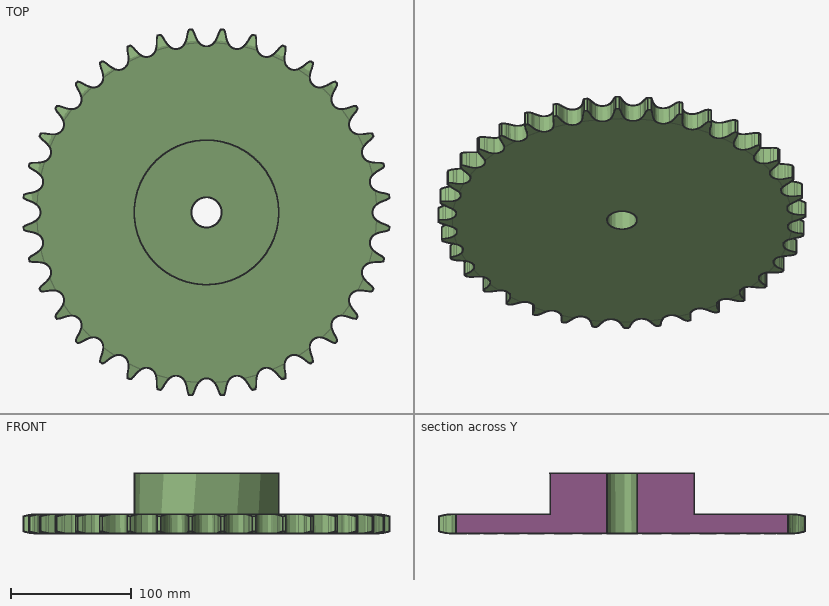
import cadquery as cq
import math

TOOTH_COUNT = 36
TOOTH_ANGLE = 360 / TOOTH_COUNT
PITCH_RADIUS = 291.5 / 2
TIP_RADIUS = 304.5 / 2
CHAIN_PITCH = 2 * PITCH_RADIUS * math.sin(math.radians(TOOTH_ANGLE / 2))
ROLLER_DIAMETER = CHAIN_PITCH * 5 / 8

PLATE_THICKNESS = 16.0
TOTAL_HEIGHT = 50.0
HUB_DIAMETER = 120.0
BORE_DIAMETER = 25.0

RELIEF_START_RADIUS = 141.0
RELIEF_DEPTH = 1.8

SEAT_END_ANGLE = 35 + 60 / TOOTH_COUNT
WORKING_ARC_ANGLE = 18 - 56 / TOOTH_COUNT
TOPPING_ANGLE = 17 - 64 / TOOTH_COUNT
SEAT_RADIUS = 0.5025 * ROLLER_DIAMETER
WORKING_CENTER_DISTANCE = 0.8 * ROLLER_DIAMETER
WORKING_RADIUS = SEAT_RADIUS + WORKING_CENTER_DISTANCE
TOPPING_CENTER_DISTANCE = 1.4 * ROLLER_DIAMETER


def polar(center, radius, degrees):
    """Point at a given radius and direction from a center."""
    angle = math.radians(degrees)
    return (center[0] + radius * math.cos(angle), center[1] + radius * math.sin(angle))


def flank_points():
    """Points of one flank, from the seat end to the tooth tip, in a gap that opens along +Y.

    The origin is the roller center. The flank is a concave working arc, a straight
    stretch and a convex topping arc, each tangent to the next.
    """
    working_center = polar((0, 0), WORKING_CENTER_DISTANCE, 180 - SEAT_END_ANGLE)
    working_end_angle = WORKING_ARC_ANGLE - SEAT_END_ANGLE
    seat_end = polar(working_center, WORKING_RADIUS, -SEAT_END_ANGLE)
    working_middle = polar(working_center, WORKING_RADIUS, -SEAT_END_ANGLE + WORKING_ARC_ANGLE / 2)
    working_end = polar(working_center, WORKING_RADIUS, working_end_angle)

    straight_length = (
        TOPPING_CENTER_DISTANCE * math.sin(math.radians(TOPPING_ANGLE))
        - WORKING_CENTER_DISTANCE * math.sin(math.radians(WORKING_ARC_ANGLE))
    )
    topping_radius = (
        WORKING_CENTER_DISTANCE * math.cos(math.radians(WORKING_ARC_ANGLE))
        + TOPPING_CENTER_DISTANCE * math.cos(math.radians(TOPPING_ANGLE))
        - WORKING_RADIUS
    )
    topping_start = polar(working_end, straight_length, working_end_angle + 90)
    topping_center = polar(topping_start, topping_radius, working_end_angle)

    axis_distance = math.hypot(topping_center[0], topping_center[1] + PITCH_RADIUS)
    axis_direction = math.degrees(math.atan2(-topping_center[1] - PITCH_RADIUS, -topping_center[0]))
    squares = topping_radius**2 + axis_distance**2 - TIP_RADIUS**2
    tip_cosine = squares / (2 * topping_radius * axis_distance)
    start_angle = 180 + working_end_angle
    end_angle = axis_direction % 360 - math.degrees(math.acos(tip_cosine))
    topping_middle = polar(topping_center, topping_radius, (start_angle + end_angle) / 2)
    tip = polar(topping_center, topping_radius, end_angle)
    return [seat_end, working_middle, working_end, topping_start, topping_middle, tip]


def turn_to_gap(point, gap):
    """Move a point from the roller-centered frame to a given gap of the sprocket."""
    radius = math.hypot(point[0], point[1] + PITCH_RADIUS)
    direction = math.degrees(math.atan2(point[1] + PITCH_RADIUS, point[0]))
    return polar((0, 0), radius, direction - gap * TOOTH_ANGLE)


def add_flank(outline, points):
    """Draw a flank outward from the seat end."""
    _, working_middle, working_end, topping_start, topping_middle, tip = points
    outline = outline.threePointArc(working_middle, working_end).lineTo(*topping_start)
    return outline.threePointArc(topping_middle, tip)


def add_flank_inward(outline, points):
    """Draw a flank inward from the tooth tip."""
    seat_end, working_middle, working_end, topping_start, topping_middle, _ = points
    outline = outline.threePointArc(topping_middle, topping_start).lineTo(*working_end)
    return outline.threePointArc(working_middle, seat_end)


def toothed_outline():
    """Closed outline of all the teeth, with a gap centered on +Y."""
    right_flank = flank_points()
    left_flank = [(-x, y) for x, y in right_flank]
    left_tip = left_flank[-1]
    seat_bottom = (0, -SEAT_RADIUS)

    outline = cq.Workplane("XY").moveTo(*turn_to_gap(left_tip, 0))
    for gap in range(TOOTH_COUNT):
        left = [turn_to_gap(point, gap) for point in left_flank]
        right = [turn_to_gap(point, gap) for point in right_flank]
        tip_middle = polar((0, 0), TIP_RADIUS, 90 - (gap + 0.5) * TOOTH_ANGLE)
        outline = add_flank_inward(outline, left)
        outline = outline.threePointArc(turn_to_gap(seat_bottom, gap), right[0])
        outline = add_flank(outline, right)
        outline = outline.threePointArc(tip_middle, turn_to_gap(left_tip, gap + 1))
    return outline.close()


def relieved_blank():
    """Disc whose rim thins toward the tips along arcs tangent to both faces."""
    return (
        cq.Workplane("XZ")
        .lineTo(RELIEF_START_RADIUS, 0)
        .tangentArcPoint((TIP_RADIUS, RELIEF_DEPTH), relative=False)
        .lineTo(TIP_RADIUS, PLATE_THICKNESS / 2)
        .lineTo(0, PLATE_THICKNESS / 2)
        .close()
        .revolve(360, (0, 0, 0), (0, 1, 0))
    )


lower_half = relieved_blank()
upper_half = lower_half.mirror("XY", (0, 0, PLATE_THICKNESS / 2))
plate = toothed_outline().extrude(PLATE_THICKNESS).intersect(lower_half.union(upper_half))

hub = cq.Workplane("XY").circle(HUB_DIAMETER / 2).extrude(TOTAL_HEIGHT)
bore = cq.Workplane("XY").circle(BORE_DIAMETER / 2).extrude(TOTAL_HEIGHT)

result = plate.union(hub).cut(bore)